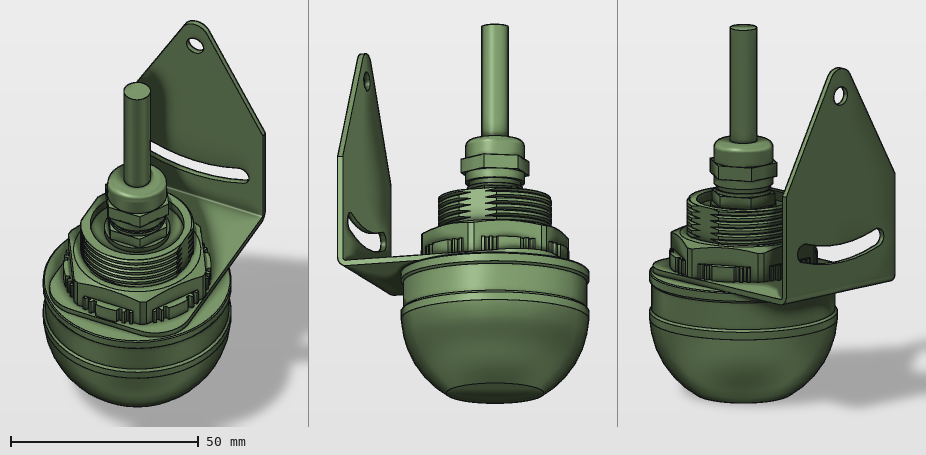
import cadquery as cq
import math

TOTAL_HEIGHT = 99.7

DOME_DIAMETER = 50.1
DOME_FLAT_DIAMETER = 25.9
DOME_BAND_BOTTOM = 20.1
DOME_BAND_HEIGHT = 2.1

BARREL_DIAMETER = 48.9
COLLAR_CHAMFER = (DOME_DIAMETER - BARREL_DIAMETER) / 2
BARREL_HEIGHT = 7.3
FLANGE_HEIGHT = 2.4
FLANGE_RIM_CHAMFER = 0.3
STEM_DIAMETER = 30.1
STEM_LENGTH = 19.7
STEM_FLAT_WIDTH = 28.2
RECESS_DIAMETER = 24.9
RECESS_DEPTH = 2.5
THREAD_PITCH = 1.7
THREAD_DEPTH = 0.8
THREAD_HALF_ANGLE = 30.0
THREAD_OVERCUT = 0.2
THREAD_START_ANGLE = -102.0

PLATE_THICKNESS = 1.5
BRACKET_WIDTH = 40.0
BRACKET_FRONT_Y = -19.9
BRACKET_BACK_Y = 37.5
BRACKET_CORNER_RADIUS = 10.0
BEND_INNER_RADIUS = 1.0
SHOULDER_Z = 62.9
BRACKET_TOP_Z = 94.8
BRACKET_TIP_RADIUS = 4.0
PIVOT_HOLE_DIAMETER = 5.0
PIVOT_Z = 87.4
SLOT_WIDTH = 5.0
SLOT_END_X = 13.4
SLOT_END_Z = 46.5

NUT_HEIGHT = 9.1
NUT_ACROSS_FLATS = 35.2
NUT_CORNER_DIAMETER = 39.7
NUT_TOP_DIAMETER = 33.9
NUT_CHAMFER_DROP = 1.2
NUT_BORE_DIAMETER = 29.3
RATCHET_HEIGHT = 4.0
RATCHET_TIP_RADIUS = 19.6
RATCHET_ROOT_RADIUS = 18.6
RATCHET_END_ANGLE = 23.0
RATCHET_PLAIN_END_ANGLE = 9.0
RATCHET_PLAIN_FOOT_ANGLE = 10.2
RATCHET_FIRST_TOOTH_ANGLE = 14.6
RATCHET_TOOTH_PITCH = 6.0
RATCHET_TIP_HALF_ANGLE = 1.0
RATCHET_ROOT_HALF_ANGLE = 1.9
RATCHET_TEETH_PER_SIDE = 2

WASHER_DIAMETER = 17.5
WASHER_HEIGHT = 1.5
GLAND_HEX_ACROSS_FLATS = 15.1
GLAND_HEX_HEIGHT = 3.1
GLAND_COLLAR_DIAMETER = 14.8
GLAND_COLLAR_HEIGHT = 0.9
GLAND_NECK_DIAMETER = 13.8
GLAND_NECK_HEIGHT = 1.4
CAP_DIAMETER = 15.8
CAP_TOP_DIAMETER = 12.0
CAP_SKIRT_HEIGHT = 2.4
CAP_HEX_ACROSS_FLATS = 16.1
CAP_HEX_HEIGHT = 3.7
CAP_HEAD_HEIGHT = 5.5
CABLE_DIAMETER = 7.1

BARREL_BOTTOM = DOME_BAND_BOTTOM + DOME_BAND_HEIGHT + COLLAR_CHAMFER
FLANGE_BOTTOM = BARREL_BOTTOM + BARREL_HEIGHT + COLLAR_CHAMFER
FLANGE_TOP = FLANGE_BOTTOM + FLANGE_HEIGHT
PLATE_TOP = FLANGE_TOP + PLATE_THICKNESS
STEM_TOP = FLANGE_TOP + STEM_LENGTH
RECESS_FLOOR = STEM_TOP - RECESS_DEPTH

GLAND_HEX_BOTTOM = RECESS_FLOOR + WASHER_HEIGHT
GLAND_COLLAR_BOTTOM = GLAND_HEX_BOTTOM + GLAND_HEX_HEIGHT
GLAND_NECK_BOTTOM = GLAND_COLLAR_BOTTOM + GLAND_COLLAR_HEIGHT
CAP_BOTTOM = GLAND_NECK_BOTTOM + GLAND_NECK_HEIGHT

HEX_SIDES = 6
CUT_REACH = 59.8


def disc(diameter, bottom, height):
    """Upright cylinder on the lamp axis."""
    return cq.Workplane("XY").workplane(offset=bottom).circle(diameter / 2).extrude(height)


def hexagon(across_flats, bottom, height):
    """Upright hexagonal prism on the lamp axis with corners on the X axis."""
    across_corners = across_flats / math.cos(math.pi / HEX_SIDES)
    return cq.Workplane("XY").workplane(offset=bottom).polygon(HEX_SIDES, across_corners).extrude(height)


def polar(radius, degrees):
    """Point at a given angle measured from +Y."""
    angle = math.radians(90 + degrees)
    return (radius * math.cos(angle), radius * math.sin(angle))


def make_dome():
    """Spherical lens with a flat end, a short band and a chamfer up to the barrel."""
    radius = DOME_DIAMETER / 2
    flat_radius = DOME_FLAT_DIAMETER / 2
    centre_z = math.sqrt(radius**2 - flat_radius**2)
    rim_radius = math.sqrt(radius**2 - (centre_z - DOME_BAND_BOTTOM) ** 2)
    flat_angle = math.atan2(-centre_z, flat_radius)
    rim_angle = math.atan2(DOME_BAND_BOTTOM - centre_z, rim_radius)
    middle_angle = (flat_angle + rim_angle) / 2
    middle = (radius * math.cos(middle_angle), centre_z + radius * math.sin(middle_angle))
    return (
        cq.Workplane("XZ")
        .moveTo(0, 0)
        .lineTo(flat_radius, 0)
        .threePointArc(middle, (rim_radius, DOME_BAND_BOTTOM))
        .lineTo(radius, DOME_BAND_BOTTOM)
        .lineTo(radius, DOME_BAND_BOTTOM + DOME_BAND_HEIGHT)
        .lineTo(BARREL_DIAMETER / 2, BARREL_BOTTOM)
        .lineTo(0, BARREL_BOTTOM)
        .close()
        .revolve(360, (0, 0, 0), (0, 1, 0))
    )


def thread_groove():
    """V-shaped right-hand helical groove that starts above the plate and runs out at the stem's top."""
    outer = STEM_DIAMETER / 2
    root = outer - THREAD_DEPTH
    lip = outer + THREAD_OVERCUT
    half_width = (lip - root) * math.tan(math.radians(THREAD_HALF_ANGLE))
    start_z = PLATE_TOP + THREAD_PITCH / 2
    helix = cq.Wire.makeHelix(THREAD_PITCH, STEM_LENGTH, root)
    profile = cq.Workplane("XZ").polyline([(root, 0), (lip, half_width), (lip, -half_width)]).close()
    groove = profile.sweep(cq.Workplane(obj=helix), isFrenet=True)
    groove = groove.rotate((0, 0, 0), (0, 0, 1), THREAD_START_ANGLE).translate((0, 0, start_z))
    return groove.intersect(disc(CUT_REACH, FLANGE_TOP, STEM_LENGTH))


def make_housing():
    """Barrel with a chamfered flange and a threaded stem with two flats and a recessed end."""
    body = (
        cq.Workplane("XZ")
        .moveTo(0, BARREL_BOTTOM)
        .lineTo(BARREL_DIAMETER / 2, BARREL_BOTTOM)
        .lineTo(BARREL_DIAMETER / 2, BARREL_BOTTOM + BARREL_HEIGHT)
        .lineTo(DOME_DIAMETER / 2, FLANGE_BOTTOM)
        .lineTo(DOME_DIAMETER / 2, FLANGE_TOP - FLANGE_RIM_CHAMFER)
        .lineTo(DOME_DIAMETER / 2 - FLANGE_RIM_CHAMFER, FLANGE_TOP)
        .lineTo(0, FLANGE_TOP)
        .close()
        .revolve(360, (0, 0, 0), (0, 1, 0))
    )
    stem = disc(STEM_DIAMETER, FLANGE_TOP, STEM_LENGTH).cut(thread_groove())
    flats = (
        cq.Workplane("XY")
        .workplane(offset=FLANGE_TOP)
        .rect(STEM_FLAT_WIDTH, CUT_REACH)
        .extrude(STEM_LENGTH)
    )
    recess = disc(RECESS_DIAMETER, RECESS_FLOOR, RECESS_DEPTH)
    return body.union(stem.intersect(flats)).cut(recess)


def bracket_profile():
    """Bent plate seen from the side, extruded over its full width."""
    bend_outer_radius = BEND_INNER_RADIUS + PLATE_THICKNESS
    inner_y = BRACKET_BACK_Y - PLATE_THICKNESS
    return (
        cq.Workplane("YZ")
        .moveTo(BRACKET_FRONT_Y, FLANGE_TOP)
        .lineTo(BRACKET_BACK_Y - bend_outer_radius, FLANGE_TOP)
        .radiusArc((BRACKET_BACK_Y, FLANGE_TOP + bend_outer_radius), -bend_outer_radius)
        .lineTo(BRACKET_BACK_Y, BRACKET_TOP_Z)
        .lineTo(inner_y, BRACKET_TOP_Z)
        .lineTo(inner_y, PLATE_TOP + BEND_INNER_RADIUS)
        .radiusArc((inner_y - BEND_INNER_RADIUS, PLATE_TOP), BEND_INNER_RADIUS)
        .lineTo(BRACKET_FRONT_Y, PLATE_TOP)
        .close()
        .extrude(BRACKET_WIDTH / 2, both=True)
    )


def wall_outline():
    """Upright face of the bracket, with sides tapering tangentially into the round tip."""
    half_width = BRACKET_WIDTH / 2
    tip_z = BRACKET_TOP_Z - BRACKET_TIP_RADIUS
    rise = tip_z - SHOULDER_Z
    distance = math.hypot(half_width, rise)
    tangent_angle = math.atan2(-rise, half_width) + math.acos(BRACKET_TIP_RADIUS / distance)
    tangent_x = BRACKET_TIP_RADIUS * math.cos(tangent_angle)
    tangent_z = tip_z + BRACKET_TIP_RADIUS * math.sin(tangent_angle)
    return (
        cq.Workplane("XZ")
        .moveTo(-half_width, FLANGE_TOP)
        .lineTo(half_width, FLANGE_TOP)
        .lineTo(half_width, SHOULDER_Z)
        .lineTo(tangent_x, tangent_z)
        .threePointArc((0, BRACKET_TOP_Z), (-tangent_x, tangent_z))
        .lineTo(-half_width, SHOULDER_Z)
        .close()
        .extrude(CUT_REACH, both=True)
    )


def wall_slot():
    """Arc slot centred on the pivot hole, cut through the upright face."""
    mid_radius = math.hypot(SLOT_END_X, PIVOT_Z - SLOT_END_Z)
    half_angle = math.asin(SLOT_END_X / mid_radius)
    inner = mid_radius - SLOT_WIDTH / 2
    outer = mid_radius + SLOT_WIDTH / 2

    def on_arc(radius, angle):
        return (radius * math.sin(angle), PIVOT_Z - radius * math.cos(angle))

    return (
        cq.Workplane("XZ")
        .moveTo(*on_arc(outer, -half_angle))
        .threePointArc(on_arc(outer, 0), on_arc(outer, half_angle))
        .tangentArcPoint(on_arc(inner, half_angle), relative=False)
        .threePointArc(on_arc(inner, 0), on_arc(inner, -half_angle))
        .tangentArcPoint(on_arc(outer, -half_angle), relative=False)
        .close()
        .extrude(-CUT_REACH)
    )


def make_bracket():
    """Bent plate with a stem hole in its foot and a pivot hole and arc slot in its wall."""
    plate = bracket_profile().edges("|Z and <Y").fillet(BRACKET_CORNER_RADIUS)
    stem_hole = disc(STEM_DIAMETER, FLANGE_TOP, PLATE_THICKNESS)
    pivot_hole = (
        cq.Workplane("XZ").center(0, PIVOT_Z).circle(PIVOT_HOLE_DIAMETER / 2).extrude(-CUT_REACH)
    )
    return plate.intersect(wall_outline()).cut(stem_hole).cut(pivot_hole).cut(wall_slot())


def ratchet_side():
    """Outline points on one side of a ratchet segment, from its plain arc to its end."""
    points = [
        polar(RATCHET_TIP_RADIUS, RATCHET_PLAIN_END_ANGLE),
        polar(RATCHET_ROOT_RADIUS, RATCHET_PLAIN_FOOT_ANGLE),
    ]
    for tooth in range(RATCHET_TEETH_PER_SIDE):
        centre = RATCHET_FIRST_TOOTH_ANGLE + tooth * RATCHET_TOOTH_PITCH
        points.append(polar(RATCHET_ROOT_RADIUS, centre - RATCHET_ROOT_HALF_ANGLE))
        points.append(polar(RATCHET_TIP_RADIUS, centre - RATCHET_TIP_HALF_ANGLE))
        points.append(polar(RATCHET_TIP_RADIUS, centre + RATCHET_TIP_HALF_ANGLE))
        points.append(polar(RATCHET_ROOT_RADIUS, centre + RATCHET_ROOT_HALF_ANGLE))
    points.append(polar(RATCHET_ROOT_RADIUS, RATCHET_END_ANGLE))
    return points


def ratchet_segment():
    """Toothed segment that stands out from the +Y flat of the nut."""
    left = ratchet_side()
    right = [(-x, y) for x, y in left]
    return (
        cq.Workplane("XY")
        .workplane(offset=PLATE_TOP)
        .moveTo(*right[0])
        .threePointArc((0, RATCHET_TIP_RADIUS), left[0])
        .polyline(left[1:], includeCurrent=True)
        .lineTo(0, NUT_BORE_DIAMETER / 2)
        .polyline(right[:0:-1], includeCurrent=True)
        .close()
        .extrude(RATCHET_HEIGHT)
    )


def make_nut(housing):
    """Hex nut with a coned top, toothed segments at its foot and a bore threaded to the stem."""
    corner_radius = NUT_CORNER_DIAMETER / 2
    nut_top = PLATE_TOP + NUT_HEIGHT
    envelope = (
        cq.Workplane("XZ")
        .moveTo(0, PLATE_TOP)
        .lineTo(corner_radius, PLATE_TOP)
        .lineTo(corner_radius, nut_top - NUT_CHAMFER_DROP)
        .lineTo(NUT_TOP_DIAMETER / 2, nut_top)
        .lineTo(0, nut_top)
        .close()
        .revolve(360, (0, 0, 0), (0, 1, 0))
    )
    nut = hexagon(NUT_ACROSS_FLATS, PLATE_TOP, NUT_HEIGHT).intersect(envelope)
    segment = ratchet_segment()
    for side in range(HEX_SIDES):
        nut = nut.union(segment.rotate((0, 0, 0), (0, 0, 1), side * 360 / HEX_SIDES))
    return nut.cut(disc(NUT_BORE_DIAMETER, PLATE_TOP, NUT_HEIGHT)).cut(housing)


def make_gland_body():
    """Washer face, hexagon, collar and neck, bored for the cable."""
    body = (
        disc(WASHER_DIAMETER, RECESS_FLOOR, WASHER_HEIGHT)
        .union(hexagon(GLAND_HEX_ACROSS_FLATS, GLAND_HEX_BOTTOM, GLAND_HEX_HEIGHT))
        .union(disc(GLAND_COLLAR_DIAMETER, GLAND_COLLAR_BOTTOM, GLAND_COLLAR_HEIGHT))
        .union(disc(GLAND_NECK_DIAMETER, GLAND_NECK_BOTTOM, GLAND_NECK_HEIGHT))
    )
    return body.cut(disc(CABLE_DIAMETER, RECESS_FLOOR, CAP_BOTTOM - RECESS_FLOOR))


def make_gland_cap():
    """Round cap with a hexagonal band and a rounded top, bored for the cable."""
    hex_bottom = CAP_BOTTOM + CAP_SKIRT_HEIGHT
    height = CAP_SKIRT_HEIGHT + CAP_HEX_HEIGHT + CAP_HEAD_HEIGHT
    rounding = (CAP_DIAMETER - CAP_TOP_DIAMETER) / 2
    barrel = disc(CAP_DIAMETER, CAP_BOTTOM, height).faces(">Z").edges().fillet(rounding)
    cap = barrel.union(hexagon(CAP_HEX_ACROSS_FLATS, hex_bottom, CAP_HEX_HEIGHT))
    return cap.cut(disc(CABLE_DIAMETER, CAP_BOTTOM, height))


def make_cable():
    """Round cable that runs from the stem's recess through the gland."""
    return disc(CABLE_DIAMETER, RECESS_FLOOR, TOTAL_HEIGHT - RECESS_FLOOR)


dome = make_dome()
housing = make_housing()
bracket = make_bracket()
nut = make_nut(housing)
gland_body = make_gland_body()
gland_cap = make_gland_cap()
cable = make_cable()

result = cq.Compound.makeCompound(
    [
        dome.val(),
        housing.solids().val(),
        bracket.solids().val(),
        nut.solids().val(),
        gland_body.solids().val(),
        gland_cap.solids().val(),
        cable.val(),
    ]
)